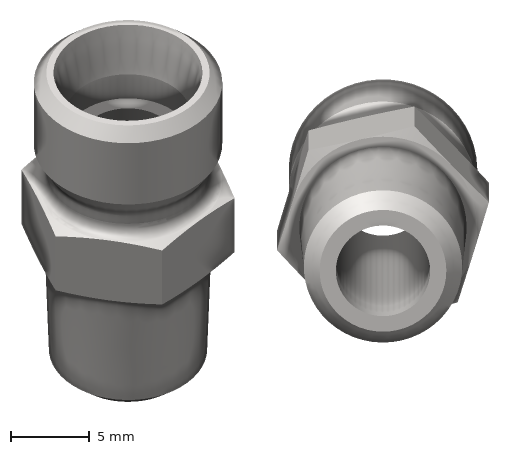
import cadquery as cq
import math

total_height = 24.0
hex_bottom = 10.0
hex_top = 15.0

hex_across_flats = 12.0
hex_chamfer_angle = math.radians(15)

stem_tip_diameter = 10.08
stem_taper = 1 / 16
stem_chamfer = 1.0

collar_diameter = 12.0
collar_bottom = 18.1
groove_diameter = 10.4
groove_flank_angle = math.radians(30)

bore_diameter = 6.0
socket_diameter = 8.0
socket_depth = 5.5
mouth_diameter = 9.48
mouth_half_angle = math.radians(12)

collar_radius = collar_diameter / 2
groove_radius = groove_diameter / 2
groove_depth = collar_radius - groove_radius


def make_hexagon():
    """Hexagonal prism whose corners are trimmed by a cone at each end."""
    height = hex_top - hex_bottom
    flat_radius = hex_across_flats / 2
    corner_radius = flat_radius / math.cos(math.pi / 6)
    corner_drop = (corner_radius - flat_radius) * math.tan(hex_chamfer_angle)
    prism = (
        cq.Workplane("XY")
        .workplane(offset=hex_bottom)
        .polygon(6, 2 * corner_radius)
        .extrude(height)
        .rotate((0, 0, 0), (0, 0, 1), 30)
    )
    envelope = (
        cq.Workplane("XZ")
        .moveTo(0, hex_bottom)
        .lineTo(flat_radius, hex_bottom)
        .lineTo(corner_radius, hex_bottom + corner_drop)
        .lineTo(corner_radius, hex_top - corner_drop)
        .lineTo(flat_radius, hex_top)
        .lineTo(0, hex_top)
        .close()
        .revolve()
    )
    return prism.intersect(envelope)


def make_lower_stem():
    """Tapered stem with a 45 degree lead-in chamfer, reaching up into the hexagon."""
    tip_radius = stem_tip_diameter / 2
    root_radius = tip_radius + (hex_top - stem_chamfer) * stem_taper / 2
    return (
        cq.Workplane("XZ")
        .lineTo(tip_radius - stem_chamfer, 0)
        .lineTo(tip_radius, stem_chamfer)
        .lineTo(root_radius, hex_top)
        .lineTo(0, hex_top)
        .close()
        .revolve()
    )


def make_upper_stem():
    """Chamfered collar above a relief groove with rounded ends."""
    fillet = groove_depth
    arc_center_radius = groove_radius + fillet

    def arc_point(center_height, angle):
        """Point on a groove fillet, with the angle measured up from the inward direction."""
        return (
            arc_center_radius - fillet * math.cos(angle),
            center_height + fillet * math.sin(angle),
        )

    lower_center = hex_top + fillet
    flank_radius = arc_point(0, groove_flank_angle)[0]
    flank_height = (collar_radius - flank_radius) / math.tan(groove_flank_angle)
    upper_center = collar_bottom - flank_height - fillet * math.sin(groove_flank_angle)

    return (
        cq.Workplane("XZ")
        .moveTo(0, hex_bottom)
        .lineTo(groove_radius, hex_bottom)
        .lineTo(groove_radius, hex_top)
        .lineTo(arc_center_radius, hex_top)
        .threePointArc(arc_point(lower_center, -math.pi / 4), (groove_radius, lower_center))
        .lineTo(groove_radius, upper_center)
        .threePointArc(
            arc_point(upper_center, groove_flank_angle / 2),
            arc_point(upper_center, groove_flank_angle),
        )
        .lineTo(collar_radius, collar_bottom)
        .lineTo(collar_radius, total_height - groove_depth)
        .lineTo(groove_radius, total_height)
        .lineTo(0, total_height)
        .close()
        .revolve()
    )


def make_passage():
    """Through bore opening into the tube socket and its conical mouth."""
    bore_radius = bore_diameter / 2
    socket_radius = socket_diameter / 2
    mouth_radius = mouth_diameter / 2
    socket_floor = total_height - socket_depth
    mouth_depth = (mouth_radius - socket_radius) / math.tan(mouth_half_angle)
    return (
        cq.Workplane("XZ")
        .lineTo(bore_radius, 0)
        .lineTo(bore_radius, socket_floor)
        .lineTo(socket_radius, socket_floor)
        .lineTo(socket_radius, total_height - mouth_depth)
        .lineTo(mouth_radius, total_height)
        .lineTo(0, total_height)
        .close()
        .revolve()
    )


body = make_hexagon().union(make_lower_stem()).union(make_upper_stem())
result = body.cut(make_passage())